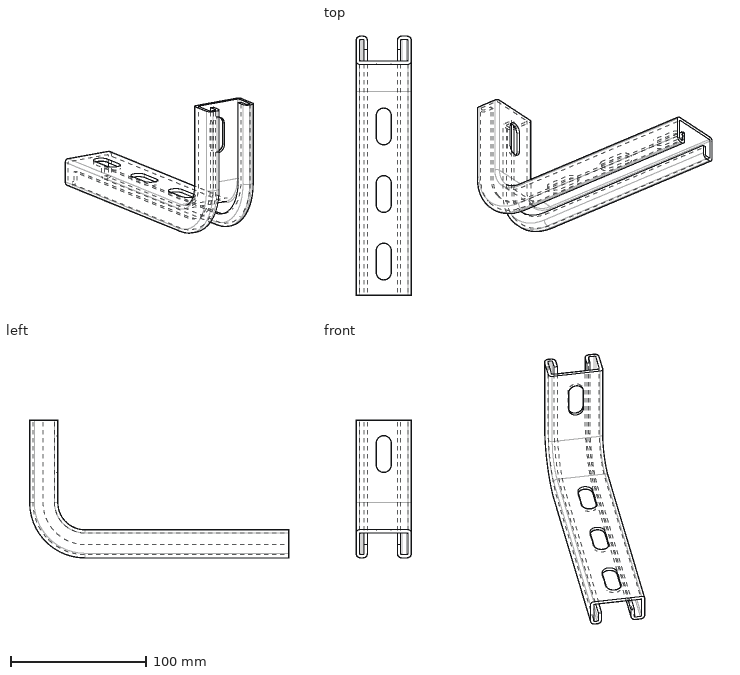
import cadquery as cq
import math

width = 41.0
depth = 21.0
thickness = 2.5
lip_height = 10.0
narrow_flange = 8.5
wide_flange = 10.5
web_outer_radius = 2.5
web_inner_radius = 1.0
lip_outer_radius = 3.5
lip_inner_radius = 1.0
sharp = 0.0

arm_length = 192.0
upright_height = 102.0
bend_inner_radius = 20.0
bend_outer_radius = bend_inner_radius + depth

slot_length = 27.0
slot_width = 11.0
slot_end_distance = 25.0
slot_pitch = 50.0
arm_slot_count = 3


def toward(start, end, distance):
    """Point lying the given distance from start on the line to end."""
    span = math.dist(start, end)
    return tuple(a + (b - a) * distance / span for a, b in zip(start, end))


def rounded_outline(workplane, corners):
    """Close an outline of square (x, y, radius) corners, the first of them sharp."""
    points = [(x, y) for x, y, _ in corners]
    outline = workplane.moveTo(*points[0])
    for i in range(1, len(corners)):
        corner = points[i]
        radius = corners[i][2]
        following = points[(i + 1) % len(points)]
        outline = outline.lineTo(*toward(corner, points[i - 1], radius))
        if radius > 0:
            outline = outline.tangentArcPoint(toward(corner, following, radius), relative=False)
    return outline.close()


def channel_section():
    """Section of the arm's free end: web on top, opening and folded lips below."""
    left = -width / 2
    right = width / 2
    left_lip = left + narrow_flange
    right_lip = right - wide_flange
    corners = [
        (left_lip, lip_height, sharp),
        (left_lip, 0, lip_outer_radius),
        (left, 0, lip_outer_radius),
        (left, depth, web_outer_radius),
        (right, depth, web_outer_radius),
        (right, 0, lip_outer_radius),
        (right_lip, 0, lip_outer_radius),
        (right_lip, lip_height, sharp),
        (right_lip + thickness, lip_height, sharp),
        (right_lip + thickness, thickness, lip_inner_radius),
        (right - thickness, thickness, lip_inner_radius),
        (right - thickness, depth - thickness, web_inner_radius),
        (left + thickness, depth - thickness, web_inner_radius),
        (left + thickness, thickness, lip_inner_radius),
        (left_lip - thickness, thickness, lip_inner_radius),
        (left_lip - thickness, lip_height, sharp),
    ]
    return rounded_outline(cq.Workplane("XZ"), corners)


def bent_channel():
    """Section swept along the lip side of the arm, round the bend and up the upright."""
    path = (
        cq.Workplane("YZ")
        .lineTo(arm_length - bend_outer_radius, 0)
        .tangentArcPoint((arm_length, bend_outer_radius), relative=False)
        .lineTo(arm_length, upright_height)
    )
    return channel_section().sweep(path)


def arm_slots():
    """Cutters for the row of slots through the arm's web."""
    centers = [(0, slot_end_distance + i * slot_pitch) for i in range(arm_slot_count)]
    return (
        cq.Workplane("XY", origin=(0, 0, depth - thickness))
        .pushPoints(centers)
        .slot2D(slot_length, slot_width, 90)
        .extrude(thickness)
    )


def upright_slot():
    """Cutter for the single slot through the upright's web."""
    web_front = arm_length - depth
    return (
        cq.Workplane("XZ", origin=(0, web_front + thickness, 0))
        .center(0, upright_height - slot_end_distance)
        .slot2D(slot_length, slot_width, 90)
        .extrude(thickness)
    )


result = bent_channel().cut(arm_slots()).cut(upright_slot())